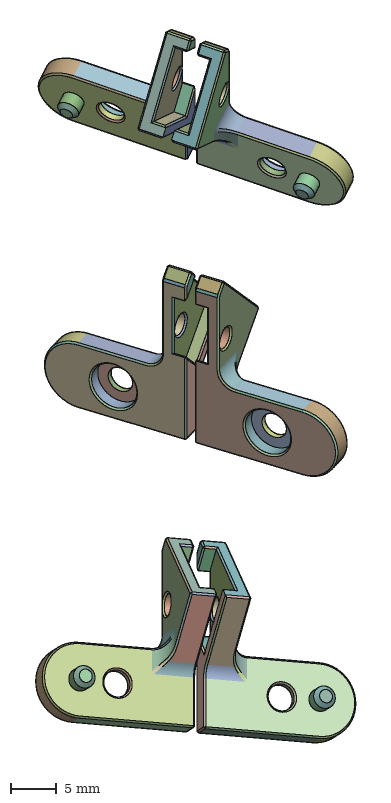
import cadquery as cq
import math


overall_length = 36.3
gap = 1.0
edge_chamfer = 0.2
root_fillet = 2.0

plate_height = 8.5
plate_thickness = 2.5
end_radius = plate_height / 2

pin_diameter = 2.5
pin_length = 2.0
pin_chamfer = 0.5
screw_hole_diameter = 3.0
counterbore_diameter = 5.6
counterbore_depth = 1.6
pin_to_screw_hole = 4.4

arm_width = 3.0
apex_height = 21.4
tip_reach = 9.4
tip_height = 13.3
wall = 1.5
pocket_depth = 8.25

cross_hole_diameter = 2.5
cross_hole_inset = 1.65
cross_hole_height = 13.72

outer_x = -overall_length / 2
inner_x = -gap / 2
arm_side_x = inner_x - arm_width
root_x = arm_side_x - root_fillet
pin_x = outer_x + end_radius
screw_hole_x = pin_x + pin_to_screw_hole

half_slope = math.radians(45 / 2)
slope_tangent = root_fillet * math.tan(half_slope)
fillet_mid = root_fillet * (1 - math.sqrt(0.5))
apex_reach = tip_reach + tip_height - apex_height
back_corner_height = apex_height - apex_reach
underside_start = tip_height - tip_reach + plate_thickness

pocket_x = arm_side_x + wall
pocket_top = back_corner_height - wall * math.sqrt(2)
pocket_bottom = tip_height - tip_reach + wall * math.sqrt(2)
mouth_reach = tip_reach - wall * math.sqrt(0.5)
floor_reach = mouth_reach - pocket_depth * math.sqrt(0.5)

tolerance = 0.005


def front_outline():
    """Plate with a round end and the arm above it, extruded along Y."""
    return (
        cq.Workplane("XZ")
        .moveTo(inner_x, 0)
        .lineTo(pin_x, 0)
        .threePointArc((outer_x, end_radius), (pin_x, plate_height))
        .lineTo(root_x, plate_height)
        .threePointArc(
            (arm_side_x - fillet_mid, plate_height + fillet_mid),
            (arm_side_x, plate_height + root_fillet),
        )
        .lineTo(arm_side_x, apex_height)
        .lineTo(inner_x, apex_height)
        .close()
        .extrude(tip_reach)
    )


def top_outline():
    """Plate and the arm in front of it, extruded along Z."""
    return (
        cq.Workplane("XY")
        .moveTo(inner_x, 0)
        .lineTo(outer_x, 0)
        .lineTo(outer_x, -plate_thickness)
        .lineTo(root_x, -plate_thickness)
        .threePointArc(
            (arm_side_x - fillet_mid, -plate_thickness - fillet_mid),
            (arm_side_x, -plate_thickness - root_fillet),
        )
        .lineTo(arm_side_x, -tip_reach)
        .lineTo(inner_x, -tip_reach)
        .close()
        .extrude(apex_height)
    )


def side_outline():
    """Plate edge and the wedge of the arm, extruded along X."""
    slope_run = slope_tangent * math.sqrt(0.5)
    arc_centre = (-plate_thickness - root_fillet, underside_start - slope_tangent)
    arc_mid = (
        arc_centre[0] + root_fillet * math.cos(half_slope),
        arc_centre[1] + root_fillet * math.sin(half_slope),
    )
    return (
        cq.Workplane("YZ", origin=(outer_x, 0, 0))
        .moveTo(0, 0)
        .lineTo(-plate_thickness, 0)
        .lineTo(-plate_thickness, underside_start - slope_tangent)
        .threePointArc(arc_mid, (-plate_thickness - slope_run, underside_start + slope_run))
        .lineTo(-tip_reach, tip_height)
        .lineTo(-apex_reach, apex_height)
        .lineTo(0, back_corner_height)
        .close()
        .extrude(inner_x - outer_x)
    )


def pocket():
    """Slot square to the slanted front face, open to the gap and through the upper part of the back."""
    return (
        cq.Workplane("YZ", origin=(pocket_x, 0, 0))
        .moveTo(-floor_reach, pocket_bottom + floor_reach)
        .lineTo(0, pocket_bottom + 2 * floor_reach)
        .lineTo(0, pocket_top)
        .lineTo(-tip_reach, pocket_top + tip_reach)
        .lineTo(-tip_reach, pocket_bottom + tip_reach)
        .close()
        .extrude(inner_x - pocket_x)
    )


def same(first, second):
    return math.isclose(first, second, abs_tol=tolerance)


def is_outside_corner(edge):
    """Tell the edges to chamfer from smooth seams, inside edges of the pocket and the lower lip."""
    x, y, z = edge.Center().toTuple()
    between_pocket_sides = pocket_x - tolerance < x < inner_x - tolerance
    between_pocket_ends = pocket_bottom - tolerance < z + y < pocket_top + tolerance
    if between_pocket_sides and between_pocket_ends:
        return same(z - y, tip_height + tip_reach) or same(y, 0)
    if same(x, inner_x):
        return y > -mouth_reach
    if same(y, -plate_thickness):
        return not (same(x, root_x) or same(z, underside_start - slope_tangent))
    on_mitre = edge.geomType() == "ELLIPSE"
    above_root = z > plate_height + root_fillet + tolerance
    return same(y, 0) or on_mitre or above_root


def bracket():
    """Plate and arm with the pocket, chamfered all round."""
    body = front_outline().intersect(top_outline()).intersect(side_outline()).cut(pocket())
    corners = [edge for edge in body.edges().vals() if is_outside_corner(edge)]
    return body.newObject(corners).chamfer(edge_chamfer)


def rim_chamfer(diameter, rim, inward):
    """Cone that chamfers a hole at its rim; the inward direction points into the material."""
    radius = diameter / 2
    return cq.Workplane(
        cq.Solid.makeCone(
            radius + edge_chamfer, radius, edge_chamfer, cq.Vector(*rim), cq.Vector(*inward)
        )
    )


def pin():
    """Round pin on the plate front, chamfered at its end."""
    return (
        cq.Workplane("XZ", origin=(pin_x, -plate_thickness, end_radius))
        .circle(pin_diameter / 2)
        .extrude(pin_length)
        .faces("<Y")
        .chamfer(pin_chamfer)
    )


def screw_hole():
    """Through hole, counterbored from the back and chamfered at both rims."""
    back = (screw_hole_x, 0, end_radius)
    front = (screw_hole_x, -plate_thickness, end_radius)
    back_plane = cq.Workplane("XZ", origin=back)
    bore = back_plane.circle(screw_hole_diameter / 2).extrude(plate_thickness)
    counterbore = back_plane.circle(counterbore_diameter / 2).extrude(counterbore_depth)
    front_rim = rim_chamfer(screw_hole_diameter, front, (0, 1, 0))
    back_rim = rim_chamfer(counterbore_diameter, back, (0, -1, 0))
    return bore.union(counterbore).union(front_rim).union(back_rim)


def cross_hole():
    """Hole through the side wall of the arm, chamfered at both rims."""
    outside = (arm_side_x, -cross_hole_inset, cross_hole_height)
    inside = (pocket_x, -cross_hole_inset, cross_hole_height)
    bore = cq.Workplane("YZ", origin=outside).circle(cross_hole_diameter / 2).extrude(wall)
    outer_rim = rim_chamfer(cross_hole_diameter, outside, (1, 0, 0))
    inner_rim = rim_chamfer(cross_hole_diameter, inside, (-1, 0, 0))
    return bore.union(outer_rim).union(inner_rim)


def hinge_half():
    return bracket().union(pin()).cut(screw_hole()).cut(cross_hole())


left_half = hinge_half()
right_half = left_half.mirror("YZ")

result = cq.Compound.makeCompound([left_half.val(), right_half.val()])